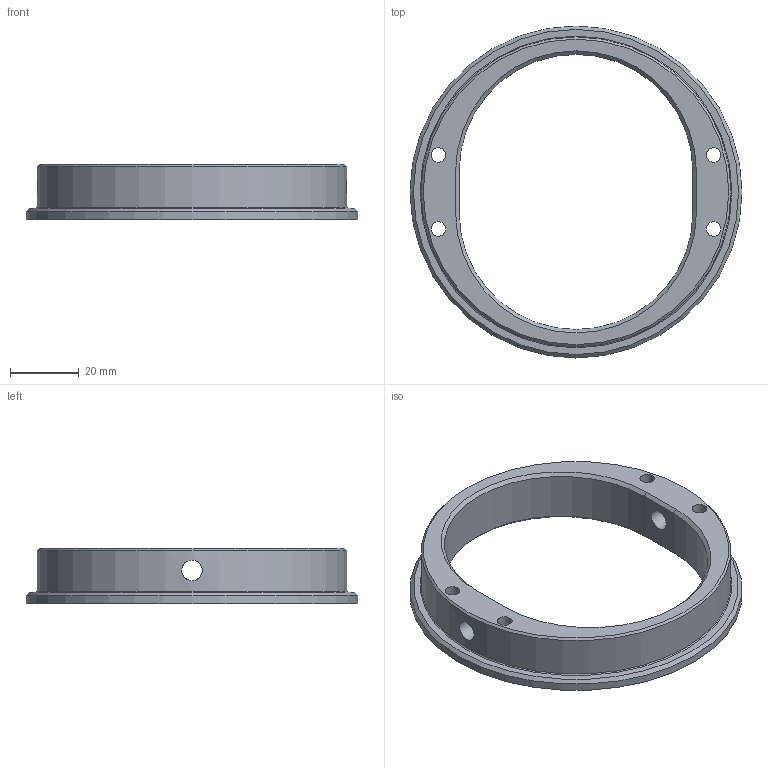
import cadquery as cq

total_height = 16.0
flange_diameter = 96.5
flange_height = 3.25
flange_chamfer = 1.0
body_diameter = 90.0
body_top_chamfer = 0.6
neck_fillet = 0.3

opening_width = 68.0
opening_length = 80.0
opening_chamfer = 1.0

screw_hole_diameter = 4.2
screw_spacing_x = 80.0
screw_spacing_y = 21.5

cross_hole_diameter = 6.0
cross_hole_z = (flange_height + total_height) / 2


def make_stepped_disc():
    """Revolve the outer profile: chamfered flange, filleted neck and chamfered body."""
    flange_radius = flange_diameter / 2
    body_radius = body_diameter / 2
    profile = (
        cq.Workplane("XZ")
        .lineTo(flange_radius, 0)
        .lineTo(flange_radius, flange_height - flange_chamfer)
        .lineTo(flange_radius - flange_chamfer, flange_height)
        .lineTo(body_radius + neck_fillet, flange_height)
        .radiusArc((body_radius, flange_height + neck_fillet), neck_fillet)
        .lineTo(body_radius, total_height - body_top_chamfer)
        .lineTo(body_radius - body_top_chamfer, total_height)
        .lineTo(0, total_height)
        .close()
    )
    return profile.revolve(360, (0, 0, 0), (0, 1, 0))


def make_rim_flare(rim_z, depth):
    """Tapered oblong, widest at rim_z, that cuts a 45 degree chamfer on one rim of the opening."""
    rim_growth = 2 * opening_chamfer
    return (
        cq.Workplane("XY", origin=(0, 0, rim_z))
        .slot2D(opening_length + rim_growth, opening_width + rim_growth, 90)
        .extrude(depth, taper=45)
    )


def make_opening():
    """Oblong through cutter that widens into a chamfer at the top and bottom rims."""
    straight_part = (
        cq.Workplane("XY")
        .slot2D(opening_length, opening_width, 90)
        .extrude(total_height)
    )
    bottom_flare = make_rim_flare(0, opening_chamfer)
    top_flare = make_rim_flare(total_height, -opening_chamfer)
    return straight_part.union(bottom_flare).union(top_flare)


def make_screw_holes():
    """Four vertical through holes on a rectangular pattern."""
    return (
        cq.Workplane("XY")
        .rect(screw_spacing_x, screw_spacing_y, forConstruction=True)
        .vertices()
        .circle(screw_hole_diameter / 2)
        .extrude(total_height)
    )


def make_cross_hole():
    """Horizontal bore along X through both side walls."""
    return (
        cq.Workplane("YZ", origin=(0, 0, cross_hole_z))
        .circle(cross_hole_diameter / 2)
        .extrude(flange_diameter / 2, both=True)
    )


result = (
    make_stepped_disc()
    .cut(make_opening())
    .cut(make_screw_holes())
    .cut(make_cross_hole())
)